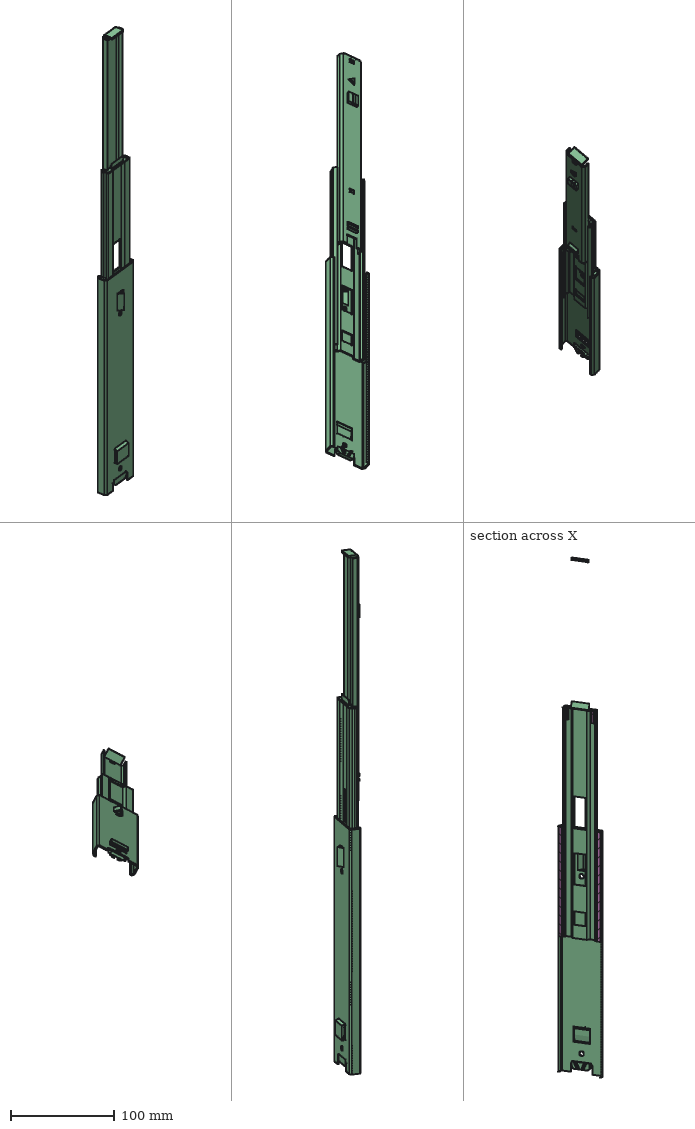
import cadquery as cq
import math

SHEET = 1.3
HALF_SHEET = SHEET / 2
RAIL_GAP = 0.25

MIDDLE_BOTTOM = 138.0
MIDDLE_TOP = 371.5
MIDDLE_HALF_WIDTH = 18.5
MIDDLE_BACK = 4.45
MIDDLE_DEPTH = 10.0
MIDDLE_FRONT = MIDDLE_BACK - MIDDLE_DEPTH
MIDDLE_LIP_EDGE = 15.0
MIDDLE_BEND = 2.5
RACEWAY_STEP = 1.3
STEP_FRONT, STEP_BACK = -0.5, 1.5
WINDOW_HALF_WIDTH = 6.0
CROWN_HEIGHT = 2.5
CROWN_HALF_WIDTH = WINDOW_HALF_WIDTH + SHEET
CROWN_FOOT = CROWN_HALF_WIDTH + CROWN_HEIGHT
WINDOWS_Z = [(250.0, 282.5), (192.5, 224.5), (151.5, 165.5)]

OUTER_TOP = 250.0
OUTER_HALF_WIDTH = 45.5 / 2
OUTER_BACK = MIDDLE_BACK + RAIL_GAP + SHEET
OUTER_FRONT = MIDDLE_FRONT - RAIL_GAP
OUTER_LIP_EDGE = MIDDLE_HALF_WIDTH + RAIL_GAP
OUTER_BEND = 1.5
OUTER_WEB = (OUTER_BACK - SHEET, OUTER_BACK)
SCREW_HOLE = 4.5
SCREW_HOLES_Z = [20.0, 200.5]
NOTCH_HALF_WIDTH = 11.5
NOTCH_SHOULDER = 8.5
NOTCH_TOP = 11.5
NOTCH_TOP_HALF_WIDTH = 9.5

TONGUE_HALF_WIDTH = 9.0
TONGUE_BOTTOM, TONGUE_TOP = 31.0, 48.0
TONGUE_BACK = OUTER_BACK + 3.0
TONGUE_SLOPE = 3.5
TONGUE_KNEE = 38.0
TONGUE_LEAN = 1.0

RIDGE_BOTTOM, RIDGE_TOP = 206.5, 226.0
RIDGE_HALF_WIDTH = 4.5
RIDGE_TIP = 10.5

INNER_BOTTOM = 274.5
INNER_TOP = 525
INNER_HALF_WIDTH = 12.5
LUG_FRONT = -10.5
LUG_HEIGHT = 2.9
INNER_FRONT = LUG_FRONT + LUG_HEIGHT
INNER_FLANGE_END = -0.5
INNER_BEND = 2.0
INNER_WEB = (INNER_FRONT, INNER_FRONT + SHEET)
TAB_THICKNESS = 2.0
TAB_HALF_WIDTH = 9.0
TAB_END = 2.5
SLOT_HALF_WIDTH = 2.5
SLOTS_Z = [(515.5, 519.0), (344.0, 348.0)]
CATCH_NOTCH_TOP = 286.0
LUG_HALF_WIDTH = 11.0 / 2
LUG_BOTTOM, LUG_TOP = 460.0, 472.5
LUG_GROOVE = 0.5
LUG_GROOVES_Y = [0.8, -2.35]
LUG_GROOVE_DEPTH = 1.5
LOUVRES_Z = [(297.5, 302.5), (293.0, 295.5)]
PIP_OUTLINE = [(4.0, 491.5), (-2.5, 496.0), (-2.5, 487.0)]
PIP_HEIGHT = 1.5
PIP_TAPER = 20

STOP_BOTTOM = 359.5
STOP_TOP = 373
STOP_HALF_WIDTH = 17.0
STOP_ARM_INSIDE = INNER_HALF_WIDTH + RAIL_GAP
STOP_ARM_OUTSIDE = 15.0
STOP_ARM_TIP = 14.5
STOP_FRONT = -2.5
STOP_BRIDGE_FRONT = 0.25
STOP_WEDGE_HALF_WIDTH = 9.5
STOP_WEDGE_BACK = 2.5
STOP_WEDGE_TOP = 378.5

BUMPER_FRONT = 2.5
BUMPER_HALF_WIDTH = 9.5
BUMPER_BOTTOM = 4.0
BUMPER_CORNER = 2.0
BUMPER_RIB_REACH = 2.0
BUMPER_RIB = 2.0
BUMPER_RIB_TOP_Y = 6.5
BUMPER_RIB_FOOT_Y = 3.5
BUMPER_RIB_FOOT_Z = 6.0

CAGE_FRONT, CAGE_BACK = -1.5, 3.0


def box(x_range, y_range, z_range):
    """Box between the given limits."""
    corner = (x_range[0], y_range[0], z_range[0])
    size = [limits[1] - limits[0] for limits in (x_range, y_range, z_range)]
    return cq.Workplane("XY").box(*size, centered=False).translate(corner)


def centred_box(x_range, half_width, z_range):
    """Box symmetric about the middle plane of the slide."""
    return box(x_range, (-half_width, half_width), z_range)


def prism_along_x(points, x_range):
    """Prism with an outline of (y, z) points."""
    plane = cq.Workplane("YZ", origin=(x_range[0], 0, 0))
    return plane.polyline(points).close().extrude(x_range[1] - x_range[0])


def prism_along_y(points, half_width):
    """Prism with an outline of (x, z) points, symmetric in Y."""
    return cq.Workplane("XZ").polyline(points).close().extrude(half_width, both=True)


def prism_along_z(points, z_range):
    """Prism with an outline of (x, y) points."""
    plane = cq.Workplane("XY", origin=(0, 0, z_range[0]))
    return plane.polyline(points).close().extrude(z_range[1] - z_range[0])


def offset_path(path, distance):
    """Points of an open path moved sideways, with mitred corners."""
    normals = []
    for (x0, y0), (x1, y1) in zip(path, path[1:]):
        length = math.hypot(x1 - x0, y1 - y0)
        normals.append(((y0 - y1) / length, (x1 - x0) / length))
    before = normals[:1] + normals
    after = normals + normals[-1:]
    moved = []
    for (x, y), (ax, ay), (bx, by) in zip(path, before, after):
        reach = distance / (1 + ax * bx + ay * by)
        moved.append((x + reach * (ax + bx), y + reach * (ay + by)))
    return moved


def folded_sheet(half_path, z_range):
    """Folded sheet from the middle line of its +Y half."""
    mirrored = [(x, -y) for x, y in reversed(half_path) if y > 0]
    path = mirrored + half_path
    outline = offset_path(path, HALF_SHEET) + offset_path(path, -HALF_SHEET)[::-1]
    return prism_along_z(outline, z_range)


def outer_profile():
    web = OUTER_BACK - HALF_SHEET
    lip = OUTER_FRONT + HALF_SHEET
    flange = OUTER_HALF_WIDTH - HALF_SHEET
    channel = [
        (web, flange - OUTER_BEND),
        (web - OUTER_BEND, flange),
        (lip + OUTER_BEND, flange),
        (lip, flange - OUTER_BEND),
        (lip, OUTER_LIP_EDGE),
    ]
    return folded_sheet(channel, (0, OUTER_TOP))


def bottom_notch():
    half = [
        (NOTCH_HALF_WIDTH, 0),
        (NOTCH_HALF_WIDTH, NOTCH_SHOULDER),
        (NOTCH_TOP_HALF_WIDTH, NOTCH_TOP),
    ]
    mirrored = [(-y, z) for y, z in reversed(half)]
    return prism_along_x(half + mirrored, OUTER_WEB)


def tongue():
    """Tongue that slopes back from the web, then hangs down to a thinner bottom edge."""
    front = TONGUE_BACK - SHEET
    side = [
        (OUTER_WEB[0], TONGUE_TOP),
        (OUTER_WEB[1], TONGUE_TOP),
        (TONGUE_BACK, TONGUE_TOP - TONGUE_SLOPE / 2),
        (TONGUE_BACK, TONGUE_BOTTOM),
        (front, TONGUE_BOTTOM),
        (front - TONGUE_LEAN, TONGUE_KNEE),
        (front - TONGUE_LEAN, TONGUE_TOP - TONGUE_SLOPE),
    ]
    return prism_along_y(side, TONGUE_HALF_WIDTH)


def ridge():
    """V ridge behind the web, hollow from the front."""
    foot = (OUTER_BACK - HALF_SHEET, RIDGE_HALF_WIDTH)
    half_angle = math.atan2(RIDGE_HALF_WIDTH, RIDGE_TIP - OUTER_BACK)
    tip = (RIDGE_TIP - HALF_SHEET / math.sin(half_angle), 0)
    return folded_sheet([tip, foot], (RIDGE_BOTTOM, RIDGE_TOP))


def screw_hole(z):
    plane = cq.Workplane("YZ", origin=(OUTER_WEB[0], 0, z))
    return plane.circle(SCREW_HOLE / 2).extrude(SHEET)


def make_outer_rail():
    rail = outer_profile().cut(bottom_notch())
    tongue_opening = (TONGUE_BOTTOM, TONGUE_TOP - SHEET)
    rail = rail.cut(centred_box(OUTER_WEB, TONGUE_HALF_WIDTH, tongue_opening))
    rail = rail.cut(centred_box(OUTER_WEB, RIDGE_HALF_WIDTH - HALF_SHEET, (RIDGE_BOTTOM, RIDGE_TOP)))
    rail = rail.union(tongue()).union(ridge())
    for z in SCREW_HOLES_Z:
        rail = rail.cut(screw_hole(z))
    return rail


def make_middle_rail():
    web = MIDDLE_BACK - HALF_SHEET
    lip = MIDDLE_FRONT + HALF_SHEET
    raceway = MIDDLE_HALF_WIDTH - HALF_SHEET
    root = raceway - RACEWAY_STEP
    channel = [
        (web - CROWN_HEIGHT, CROWN_HALF_WIDTH),
        (web, CROWN_FOOT),
        (web, root),
        (STEP_BACK, root),
        (STEP_FRONT, raceway),
        (lip + MIDDLE_BEND, raceway),
        (lip, MIDDLE_LIP_EDGE),
    ]
    rail = folded_sheet(channel, (MIDDLE_BOTTOM, MIDDLE_TOP))
    for window in WINDOWS_Z:
        rail = rail.cut(centred_box((0, MIDDLE_BACK), WINDOW_HALF_WIDTH, window))
    return rail


def inner_profile():
    web = INNER_FRONT + HALF_SHEET
    flange = INNER_HALF_WIDTH - HALF_SHEET
    channel = [
        (web, flange - INNER_BEND),
        (web + INNER_BEND, flange),
        (INNER_FLANGE_END, flange),
    ]
    return folded_sheet(channel, (INNER_BOTTOM, INNER_TOP - TAB_THICKNESS))


def top_tab():
    """Tab folded back over the top end, bevelled along the fold."""
    tab = centred_box((INNER_FRONT, TAB_END), TAB_HALF_WIDTH, (INNER_TOP - TAB_THICKNESS, INNER_TOP))
    return tab.faces(">Z").edges("<X").chamfer(SHEET)


def grooved_lug():
    """Lug on the front of the web with two upright grooves."""
    lug = centred_box((LUG_FRONT, INNER_FRONT), LUG_HALF_WIDTH, (LUG_BOTTOM, LUG_TOP))
    depth = (LUG_FRONT, LUG_FRONT + LUG_GROOVE_DEPTH)
    for y in LUG_GROOVES_Y:
        lug = lug.cut(box(depth, (y - LUG_GROOVE / 2, y + LUG_GROOVE / 2), (LUG_BOTTOM, LUG_TOP)))
    return lug


def louvre(bottom, top):
    """Cross rib with a sloping upper half."""
    side = [
        (INNER_FRONT, bottom),
        (LUG_FRONT, bottom),
        (LUG_FRONT, (bottom + top) / 2),
        (INNER_FRONT, top),
    ]
    return prism_along_y(side, LUG_HALF_WIDTH)


def pip():
    """Small three-sided pip that tapers away from the web."""
    plane = cq.Workplane("YZ", origin=(INNER_FRONT, 0, 0))
    return plane.polyline(PIP_OUTLINE).close().extrude(-PIP_HEIGHT, taper=PIP_TAPER)


def make_inner_rail():
    rail = inner_profile().union(top_tab())
    for slot in SLOTS_Z:
        rail = rail.cut(centred_box(INNER_WEB, SLOT_HALF_WIDTH, slot))
    rail = rail.cut(centred_box(INNER_WEB, WINDOW_HALF_WIDTH, (INNER_BOTTOM, CATCH_NOTCH_TOP)))
    rail = rail.union(grooved_lug()).union(pip())
    for bottom, top in LOUVRES_Z:
        rail = rail.union(louvre(bottom, top))
    return rail


def make_end_stop():
    """Bridge over the end of the middle rail, with an arm down each flange and a wedge on top."""
    bridge_depth = (STOP_BRIDGE_FRONT, MIDDLE_BACK)
    stop = centred_box(bridge_depth, STOP_HALF_WIDTH, (MIDDLE_TOP, STOP_TOP))
    web_front = MIDDLE_BACK - SHEET
    for side in (1, -1):
        arm = [
            (web_front, side * STOP_ARM_INSIDE),
            (web_front, side * STOP_ARM_OUTSIDE),
            (STOP_FRONT, side * STOP_ARM_OUTSIDE),
            (STOP_FRONT, side * STOP_ARM_TIP),
            (STOP_BRIDGE_FRONT, side * STOP_ARM_INSIDE),
        ]
        stop = stop.union(prism_along_z(arm, (STOP_BOTTOM, STOP_TOP)))
    wedge = [
        (STOP_BRIDGE_FRONT, STOP_TOP),
        (STOP_WEDGE_BACK, STOP_WEDGE_TOP),
        (STOP_WEDGE_BACK, STOP_TOP),
    ]
    return stop.union(prism_along_y(wedge, STOP_WEDGE_HALF_WIDTH))


def make_bumper():
    """Block hanging in the notch, with a slanted rib on each side of its front."""
    half = [
        (BUMPER_HALF_WIDTH - BUMPER_CORNER, BUMPER_BOTTOM),
        (BUMPER_HALF_WIDTH, BUMPER_BOTTOM + BUMPER_CORNER),
        (BUMPER_HALF_WIDTH, NOTCH_TOP),
    ]
    mirrored = [(-y, z) for y, z in reversed(half)]
    bumper = prism_along_x(half + mirrored, (BUMPER_FRONT, OUTER_BACK))
    rib_depth = (BUMPER_FRONT - BUMPER_RIB_REACH, BUMPER_FRONT)
    for side in (1, -1):
        rib = [
            (side * BUMPER_RIB_TOP_Y, NOTCH_TOP),
            (side * (BUMPER_RIB_TOP_Y - BUMPER_RIB), NOTCH_TOP),
            (side * (BUMPER_RIB_FOOT_Y - BUMPER_RIB), BUMPER_RIB_FOOT_Z),
            (side * BUMPER_RIB_FOOT_Y, BUMPER_RIB_FOOT_Z),
        ]
        bumper = bumper.union(prism_along_x(rib, rib_depth))
    return bumper


def make_ball_cage(side):
    """Strip filling the gap between the outer and middle flanges where the rails overlap."""
    inside = side * MIDDLE_HALF_WIDTH
    outside = side * (OUTER_HALF_WIDTH - SHEET)
    y_range = (min(inside, outside), max(inside, outside))
    return box((CAGE_FRONT, CAGE_BACK), y_range, (MIDDLE_BOTTOM, OUTER_TOP))


outer_rail = make_outer_rail()
middle_rail = make_middle_rail()
inner_rail = make_inner_rail()
end_stop = make_end_stop()
bumper = make_bumper()
ball_cages = [make_ball_cage(side) for side in (1, -1)]

result = cq.Compound.makeCompound([
    outer_rail.val(),
    middle_rail.val(),
    inner_rail.val(),
    end_stop.val(),
    bumper.val(),
    *[cage.val() for cage in ball_cages],
])